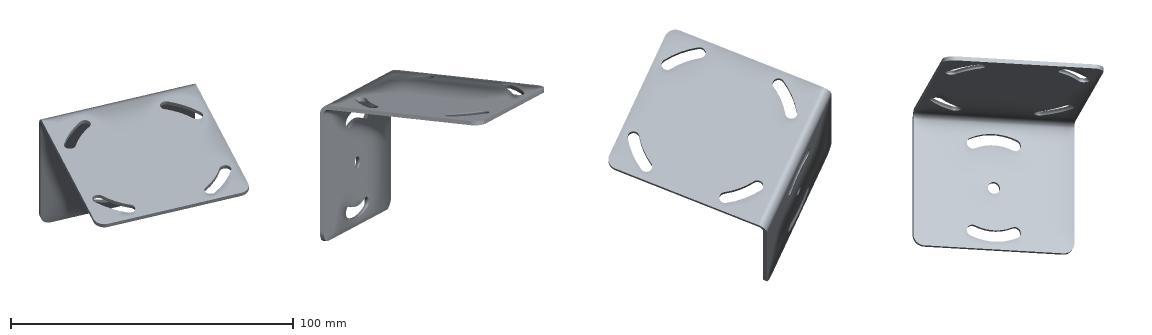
import cadquery as cq
import math

length = 62.5
width = 58.0
height = 50.5

thickness = 1.5
bend_radius = 3.5
corner_radius = 4.0

slot_width = 4.2

plate_center_x = 33.5
plate_slot_radius = 28.3
plate_slot_sweep = 25.0
plate_slot_angles = (45, 135, 225, 315)

pivot_diameter = 4.3
pivot_z = -27.5
wall_slot_radius = 18.0
wall_slot_sweep = 50.0
wall_slot_angles = (90, 270)


def bent_sheet():
    """L-shaped sheet: top face at Z = 0, outer wall face at X = 0."""
    outer = (
        cq.Workplane("XZ")
        .rect(length, height)
        .extrude(width / 2, both=True)
        .translate((length / 2, 0, -height / 2))
    )
    inner = outer.translate((thickness, 0, -thickness))
    outer = outer.edges("|Y and <X and >Z").fillet(bend_radius)
    inner = inner.edges("|Y and <X and >Z").fillet(bend_radius - thickness)
    sheet = outer.cut(inner)
    sheet = sheet.faces(">X").edges("|Z").fillet(corner_radius)
    return sheet.faces("<Z").edges("|X").fillet(corner_radius)


def polar(radius, angle):
    """Point at a radius and an angle in degrees."""
    return (radius * math.cos(math.radians(angle)), radius * math.sin(math.radians(angle)))


def arc_slot(plane, radius, middle_angle, sweep):
    """Cutter for a round-ended slot; sweep is the angle between its end centers."""
    start = middle_angle - sweep / 2
    end = middle_angle + sweep / 2
    inner = radius - slot_width / 2
    outer = radius + slot_width / 2
    body = (
        plane.moveTo(*polar(inner, start))
        .threePointArc(polar(inner, middle_angle), polar(inner, end))
        .lineTo(*polar(outer, end))
        .threePointArc(polar(outer, middle_angle), polar(outer, start))
        .close()
        .extrude(thickness, both=True)
    )
    ends = (
        plane.pushPoints([polar(radius, start), polar(radius, end)])
        .circle(slot_width / 2)
        .extrude(thickness, both=True)
    )
    return body.union(ends)


result = bent_sheet()

plate_plane = cq.Workplane("XY", origin=(plate_center_x, 0, -thickness / 2))
for angle in plate_slot_angles:
    result = result.cut(arc_slot(plate_plane, plate_slot_radius, angle, plate_slot_sweep))

wall_plane = cq.Workplane("YZ", origin=(thickness / 2, 0, pivot_z))
for angle in wall_slot_angles:
    result = result.cut(arc_slot(wall_plane, wall_slot_radius, angle, wall_slot_sweep))

pivot_hole = wall_plane.circle(pivot_diameter / 2).extrude(thickness, both=True)
result = result.cut(pivot_hole)